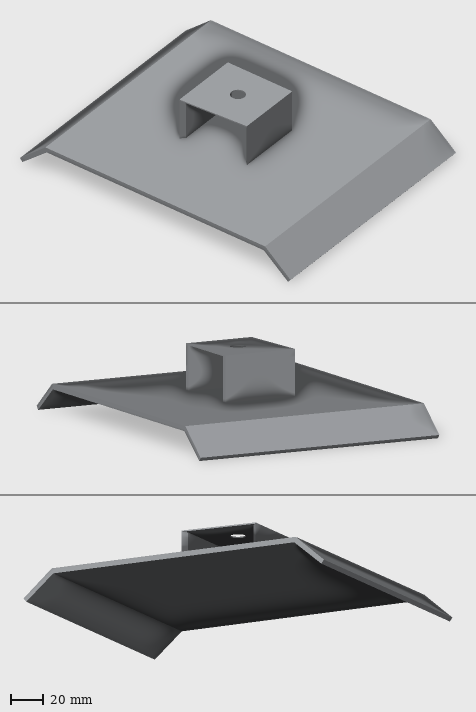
import cadquery as cq

base_width = 212.8
base_length = 170.0
deck_half_width = 86.4
deck_thickness = 3.5
total_height = 49.4
bracket_height = 30.0
flange_tip_rise = 2.3
flange_tip_inset = 2.0
inner_bend_inset = 1.0

bracket_left = -25.7
bracket_right = 25.0
bracket_back = 23.2
bracket_front_left = -26.5
bracket_front_right = -23.5
wall_thickness = 3.0
roof_thickness = 0.9
hole_diameter = 10.0

deck_top = total_height - bracket_height
half_width = base_width / 2


def make_base():
    """Bent sheet profile, centred on X and Y, with the flange tips at Z = 0."""
    right_side = [
        (deck_half_width, deck_top),
        (half_width, flange_tip_rise),
        (half_width - flange_tip_inset, 0),
        (deck_half_width - inner_bend_inset, deck_top - deck_thickness),
    ]
    left_side = [(-x, z) for x, z in reversed(right_side)]
    profile = cq.Workplane("XZ").polyline(right_side + left_side).close()
    return profile.extrude(base_length / 2, both=True)


def make_wall(outer_x, inner_x, front_y):
    """Side wall whose front end is mitred at 45 degrees back to its inner face."""
    outline = [
        (outer_x, bracket_back),
        (outer_x, front_y),
        (inner_x, front_y + wall_thickness),
        (inner_x, bracket_back),
    ]
    return cq.Workplane("XY", origin=(0, 0, deck_top)).polyline(outline).close().extrude(bracket_height)


def make_roof():
    """Thin top sheet with a slanted front edge and a round hole through it."""
    outline = [
        (bracket_left, bracket_back),
        (bracket_left, bracket_front_left),
        (bracket_right, bracket_front_right),
        (bracket_right, bracket_back),
    ]
    plane = cq.Workplane("XY", origin=(0, 0, total_height - roof_thickness))
    hole = plane.circle(hole_diameter / 2).extrude(roof_thickness)
    return plane.polyline(outline).close().extrude(roof_thickness).cut(hole)


left_wall = make_wall(bracket_left, bracket_left + wall_thickness, bracket_front_left)
right_wall = make_wall(bracket_right, bracket_right - wall_thickness, bracket_front_right)

result = make_base().union(left_wall).union(right_wall).union(make_roof())